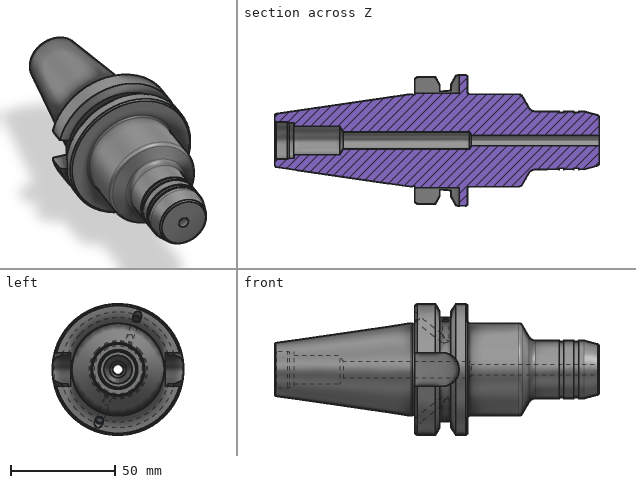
import cadquery as cq
import math

length = 155.4
flange_radius = 63.0 / 2
body_radius = 44.5 / 2
nose_radius = 28.0 / 2

taper_end = 65.0
taper_slope = 7 / 48
taper_chamfer = 0.6
relief_start = 65.9
relief_radius = 44.0 / 2

flange_back = 67.0
flange_front = 92.3
flange_chamfer_length = 1.2
flange_chamfer_height = 1.0
lip_chamfer = 0.8
groove_start = 77.0
groove_floor_start = 79.1
groove_floor_end = 84.4
groove_end = 86.7
groove_floor_radius = 25.0
groove_side_slope = math.tan(math.radians(60))
flange_fillet = 1.0

shoulder_start = 118.0
shoulder_slope = math.tan(math.radians(60))
shoulder_outer_fillet = 2.2
shoulder_inner_fillet = 3.4
nose_taper_start = 148.0
nose_taper_slope = math.tan(math.radians(15))
nose_chamfer = 0.8
ring_radius = 27.0 / 2
ring_starts = (136.1, 143.1)
ring_width = 2.3

slot_width = 16.2
slot_end = 88.3
slot_floor = 22.7

mouth_radius = 9.5
counterbore_radius = 17.5 / 2
counterbore_depth = 6.0
step_cone_length = 1.0
step_radius = 17.0 / 2
step_depth = 9.2
thread_radius = 13.5 / 2
thread_depth = 31.1
channel_radius = 8.0 / 2
channel_depth = 93.2
through_radius = 5.0 / 2
drill_tip_slope = math.tan(math.radians(59))

coolant_angle = 20.0
coolant_entry_radius = 26.9
coolant_tilt = 40.0
coolant_entry_diameter = 4.0
coolant_entry_depth = 1.9
coolant_diameter = 3.3


def revolve_about_x(points):
    return cq.Workplane("XY").polyline(points).close().revolve(360, (0, 0, 0), (1, 0, 0))


def circle_edges_at(x, radius):
    """Select the circular edge at one position along X and of one radius."""
    margin = 0.08
    reach = radius + margin
    return cq.selectors.BoxSelector(
        (x - margin, -reach, -reach), (x + margin, reach, reach), boundingbox=True)


def make_turned_body():
    taper_back_radius = body_radius - taper_slope * taper_end
    groove_side_height = (groove_floor_start - groove_start) * groove_side_slope
    groove_shoulder_radius = flange_radius - groove_side_height
    shoulder_end = shoulder_start + (body_radius - nose_radius) / shoulder_slope
    nose_taper_end = length - nose_chamfer
    nose_tip_radius = nose_radius - (nose_taper_end - nose_taper_start) * nose_taper_slope
    body = revolve_about_x([
        (0, 0),
        (0, taper_back_radius - taper_chamfer),
        (taper_chamfer, taper_back_radius + taper_slope * taper_chamfer),
        (taper_end, body_radius),
        (relief_start, body_radius),
        (relief_start, relief_radius),
        (flange_back, relief_radius),
        (flange_back, flange_radius - flange_chamfer_height),
        (flange_back + flange_chamfer_length, flange_radius),
        (groove_start, flange_radius),
        (groove_floor_start, groove_shoulder_radius),
        (groove_floor_start, groove_floor_radius),
        (groove_floor_end, groove_floor_radius),
        (groove_floor_end, groove_shoulder_radius),
        (groove_end, flange_radius),
        (flange_front - lip_chamfer, flange_radius),
        (flange_front, flange_radius - lip_chamfer),
        (flange_front, body_radius),
        (shoulder_start, body_radius),
        (shoulder_end, nose_radius),
        (nose_taper_start, nose_radius),
        (nose_taper_end, nose_tip_radius),
        (length, nose_tip_radius - nose_chamfer),
        (length, 0),
    ])
    body = body.edges(circle_edges_at(flange_front, body_radius)).fillet(flange_fillet)
    body = body.edges(circle_edges_at(shoulder_start, body_radius)).fillet(shoulder_outer_fillet)
    return body.edges(circle_edges_at(shoulder_end, nose_radius)).fillet(shoulder_inner_fillet)


def make_ring_groove(start):
    return revolve_about_x([
        (start, ring_radius),
        (start, flange_radius),
        (start + ring_width, flange_radius),
        (start + ring_width, ring_radius),
    ])


def make_drive_slot(side):
    """Round-ended slot open towards the taper; side is +1 or -1 along Y."""
    end_radius = slot_width / 2
    arc_start = slot_end - end_radius
    return (
        cq.Workplane("XZ", origin=(0, side * slot_floor, 0))
        .moveTo(relief_start, -end_radius)
        .lineTo(arc_start, -end_radius)
        .threePointArc((slot_end, 0), (arc_start, end_radius))
        .lineTo(relief_start, end_radius)
        .close()
        .extrude(-side * flange_radius)
    )


def make_bore():
    mouth_depth = mouth_radius - counterbore_radius
    thread_tip = thread_depth + (thread_radius - channel_radius) / drill_tip_slope
    channel_tip = channel_depth + (channel_radius - through_radius) / drill_tip_slope
    return revolve_about_x([
        (0, 0),
        (0, mouth_radius),
        (mouth_depth, counterbore_radius),
        (counterbore_depth, counterbore_radius),
        (counterbore_depth + step_cone_length, step_radius),
        (step_depth, step_radius),
        (step_depth, thread_radius),
        (thread_depth, thread_radius),
        (thread_tip, channel_radius),
        (channel_depth, channel_radius),
        (channel_tip, through_radius),
        (length, through_radius),
        (length, 0),
    ])


def make_coolant_drilling(angle):
    """Stepped slanted hole from the flange face, met by a radial hole from the groove."""
    tilt = math.radians(coolant_tilt)
    groove_middle = (groove_floor_start + groove_floor_end) / 2
    slant_length = (groove_middle - flange_back) / math.cos(tilt)
    meeting_radius = coolant_entry_radius - slant_length * math.sin(tilt)
    entry = cq.Vector(flange_back, 0, coolant_entry_radius)
    inward = cq.Vector(math.cos(tilt), 0, -math.sin(tilt))
    overrun = coolant_entry_diameter
    drilling = cq.Solid.makeCylinder(
        coolant_entry_diameter / 2, coolant_entry_depth + overrun, entry - inward * overrun, inward)
    slanted = cq.Solid.makeCylinder(coolant_diameter / 2, slant_length, entry, inward)
    radial = cq.Solid.makeCylinder(
        coolant_diameter / 2, flange_radius - meeting_radius,
        cq.Vector(groove_middle, 0, meeting_radius), cq.Vector(0, 0, 1))
    drilling = cq.Workplane(drilling.fuse(slanted, radial))
    return drilling.rotate((0, 0, 0), (1, 0, 0), angle)


result = make_turned_body().cut(make_bore())
for ring_start in ring_starts:
    result = result.cut(make_ring_groove(ring_start))
for slot_side in (-1, 1):
    result = result.cut(make_drive_slot(slot_side))
for half_turn in (0, 180):
    result = result.cut(make_coolant_drilling(coolant_angle + half_turn))